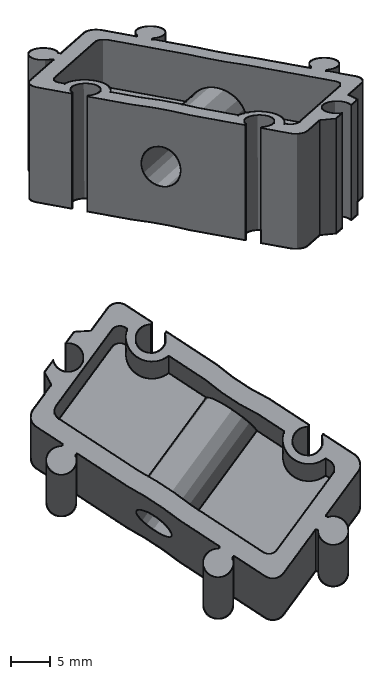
import cadquery as cq

overall_length = 44.35
body_length = 38.8
body_width = 20.0
height = 16.0
corner_radius = 1.7

left_wall = 2.5
right_wall = 2.15
side_wall = 2.55
floor_height = 9.4
cavity_corner_radius = 1.25

hole_x = 19.0
hole_z = height / 2
hole_diameter = 5.5
hump_radius = 4.15

bow_length = 8.15
front_bow_depth = 0.25
back_bow_depth = 0.18

joint_diameter = 3.85
neck_width = 2.17
joint_offset = 1.93
joint_spacing = 24.3
first_joint_x = 7.65
joint_xs = (first_joint_x, first_joint_x + joint_spacing)
end_joint_y = body_width / 2

boss_radius = 3.33
boss_center_y = 1.65

pad_depth = overall_length - body_length - joint_offset - joint_diameter / 2
pad_base_y = (5.35, 14.25)
pad_face_y = (6.7, 13.35)
end_socket_offset = 0.3


def bowed_block(left, right, front, back, radius, bottom):
    """Rounded block up to the top face, with both long sides bowed toward the hole's middle."""
    bow_start = hole_x - bow_length / 2
    bow_end = hole_x + bow_length / 2
    outline = (
        cq.Workplane("XY", origin=(0, 0, bottom))
        .moveTo(left, front)
        .lineTo(bow_start, front)
        .threePointArc((hole_x, front + front_bow_depth), (bow_end, front))
        .lineTo(right, front)
        .lineTo(right, back)
        .lineTo(bow_end, back)
        .threePointArc((hole_x, back - back_bow_depth), (bow_start, back))
        .lineTo(left, back)
        .close()
    )
    block = outline.extrude(height - bottom)
    for x in (left, right):
        for y in (front, back):
            corner = cq.selectors.NearestToPointSelector((x, y, (bottom + height) / 2))
            block = block.edges(corner).fillet(radius)
    return block


def column(x, y, radius):
    """Full-height cylinder."""
    return cq.Workplane("XY").center(x, y).circle(radius).extrude(height)


def neck(x, y, length, width):
    """Full-height bar centred on the given point."""
    return cq.Workplane("XY").center(x, y).rect(length, width).extrude(height)


def cross_cylinder(radius, front, back):
    """Cylinder along Y on the axis of the cross hole."""
    plane = cq.Workplane("XZ", origin=(hole_x, front, hole_z))
    return plane.circle(radius).extrude(front - back)


body = bowed_block(0, body_length, 0, body_width, corner_radius, 0)

cavity = bowed_block(
    left_wall,
    body_length - right_wall,
    side_wall,
    body_width - side_wall,
    cavity_corner_radius,
    floor_height,
)
for joint_x in joint_xs:
    cavity = cavity.cut(column(joint_x, boss_center_y, boss_radius))
cavity = cavity.cut(cross_cylinder(hump_radius, 0, body_width))
body = body.cut(cavity)

for joint_x in joint_xs:
    body = body.union(column(joint_x, body_width + joint_offset, joint_diameter / 2))
    body = body.union(neck(joint_x, body_width, neck_width, 2 * joint_offset))

body = body.union(column(-joint_offset, end_joint_y, joint_diameter / 2))
body = body.union(neck(0, end_joint_y, 2 * joint_offset, neck_width))

for joint_x in joint_xs:
    body = body.cut(column(joint_x, joint_offset, joint_diameter / 2))
    body = body.cut(neck(joint_x, 0, neck_width, 2 * joint_offset))

pad = (
    cq.Workplane("XY")
    .moveTo(body_length, pad_base_y[0])
    .lineTo(body_length + pad_depth, pad_face_y[0])
    .lineTo(body_length + pad_depth, pad_face_y[1])
    .lineTo(body_length, pad_base_y[1])
    .close()
    .extrude(height)
)
body = body.union(pad)
body = body.cut(column(body_length + end_socket_offset, end_joint_y, joint_diameter / 2))

result = body.cut(cross_cylinder(hole_diameter / 2, 0, body_width))